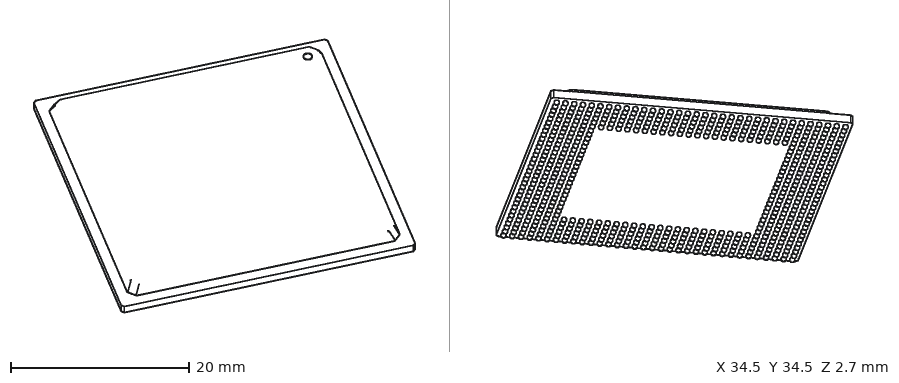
import cadquery as cq

body_width = 34.5
total_height = 2.7
plate_thickness = 0.97
plate_corner_chamfer = 0.3

balls_per_side = 34
ball_rings = 6
ball_pitch = 1.0
ball_diameter = 0.6
ball_height = 0.5

lid_margin = 1.25
lid_height = total_height - ball_height - plate_thickness
lid_step_height = 0.05
lid_inset = 0.55
lid_bottom_width = body_width - 2 * lid_margin
lid_top_width = lid_bottom_width - 2 * lid_inset
lid_corner_chamfer = 0.85
lid_edge_radius = 0.2

mark_diameter = 1.0
mark_depth = 0.1
mark_offset = 14.0

slope_start_z = plate_thickness + lid_step_height
lid_top_z = plate_thickness + lid_height


def octagon_points(width, corner):
    """Corners of a centred square whose four corners are cut at 45 degrees."""
    half = width / 2
    flat = half - corner
    return [
        (flat, -half), (half, -flat), (half, flat), (flat, half),
        (-flat, half), (-half, flat), (-half, -flat), (-flat, -half),
    ]


def make_plate():
    outline = octagon_points(body_width, plate_corner_chamfer)
    return cq.Workplane("XY").polyline(outline).close().extrude(plate_thickness)


def make_lid():
    """Lid with a short upright step, sloping sides and rounded edges."""
    slopes = (
        cq.Workplane("XY")
        .workplane(offset=slope_start_z)
        .polyline(octagon_points(lid_bottom_width, lid_corner_chamfer))
        .close()
        .workplane(offset=lid_top_z - slope_start_z)
        .polyline(octagon_points(lid_top_width, lid_corner_chamfer))
        .close()
        .loft(ruled=True)
    )
    rounded_sides = slopes.edges("not #Z").fillet(lid_edge_radius)
    stepped = rounded_sides.faces("<Z").wires().toPending().extrude(-lid_step_height)
    return stepped.faces(">Z").edges().fillet(lid_edge_radius)


def make_pin_one_mark():
    return (
        cq.Workplane("XY")
        .workplane(offset=lid_top_z - mark_depth)
        .center(-mark_offset, mark_offset)
        .circle(mark_diameter / 2)
        .extrude(mark_depth)
    )


def ball_positions():
    """Grid places that lie within the outer rings of the square grid."""
    last = balls_per_side - 1
    first_offset = -last * ball_pitch / 2
    positions = []
    for column in range(balls_per_side):
        for row in range(balls_per_side):
            ring = min(column, row, last - column, last - row)
            if ring < ball_rings:
                positions.append((first_offset + column * ball_pitch, first_offset + row * ball_pitch))
    return positions


def make_balls():
    """Solder balls, each cut flat where it meets the plate."""
    radius = ball_diameter / 2
    center_z = radius - ball_height
    trim = cq.Workplane("XY").rect(ball_pitch, ball_pitch).extrude(-ball_height)
    ball = cq.Workplane("XY").sphere(radius).translate((0, 0, center_z)).intersect(trim).val()
    grid = cq.Workplane("XY").pushPoints(ball_positions())
    return grid.eachpoint(lambda place: ball.moved(place)).vals()


body = make_plate().union(make_lid()).cut(make_pin_one_mark())
body_with_balls = body.val().fuse(*make_balls())
result = cq.Workplane("XY").newObject(body_with_balls.Solids())